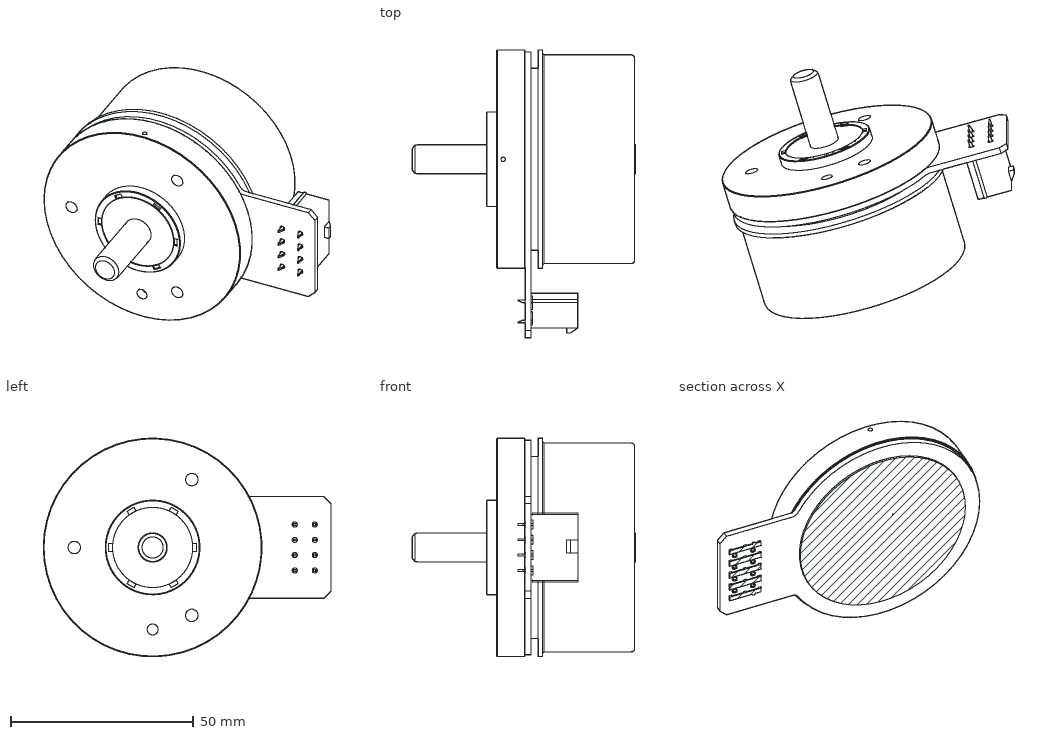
import cadquery as cq
import math


shaft_front = -23.2
hub_front = -2.8
flange_rear = 7.8
board_thickness = 1.7
board_rear = flange_rear + board_thickness
rim_front = board_rear + 1.9
rim_rear = rim_front + 1.2
can_front = rim_rear + 0.4
can_rear = 37.9
shaft_rear = 38.1

shaft_radius = 4.0
hub_radius = 13.0
flange_radius = 30.0
neck_radius = 25.0
rim_radius = 30.0
can_radius = 28.7
can_root_rise = 0.4
edge_break = 0.2
shaft_tip_radius = 2.9
shaft_shoulder_radius = 3.85
shaft_nose_length = 0.75
shaft_taper_length = 0.7
can_rear_radius = 1.0

seat_radius = 11.0
seat_depth = 0.3
notch_count = 6
notch_outer_radius = 12.1
notch_width = 2.2
notch_depth = 0.5

mount_hole_radius = 1.7
mount_circle_radius = 21.5
mount_hole_count = 3
mount_hole_depth = 5.0
drill_point_angle = 118.0
locating_hole_radius = 1.5
locating_hole_z = -22.5
locating_hole_depth = 3.0
side_hole_radius = 0.6
side_hole_x = 1.8
side_hole_depth = 3.0

board_radius = 29.5
tab_end_y = -49.0
tab_half_width = 14.0
tab_chamfer = 2.0
tab_root_radius = 2.0

connector_length = 12.8
connector_width = 9.6
connector_half_height = 9.0
connector_center_y = -41.5
connector_edge_radius = 0.3
key_rib_radius = 0.45
key_rib_y = -38.9
latch_length = 3.1
latch_height = 1.4
latch_flat = 1.05
latch_bottom_z = -1.5
latch_top_z = 2.0
row_slot_width = 2.4
row_slot_depth = 0.5
cross_slot_width = 3.6
cross_slot_depth = 0.3
cross_slot_offset = 2.15

pin_rows = 4
row_pitch = 4.2
column_pitch = 5.5
pin_center_y = -41.75
pin_hole_radius = 0.7
pin_width_y = 0.8
pin_width_z = 0.5
pin_protrusion = 1.9
pin_straight = 0.6
pin_tip_width = 0.25


def x_cylinder(radius, x_start, x_end, y=0.0, z=0.0):
    """Solid cylinder along X between two stations."""
    return cq.Workplane("YZ", origin=(x_start, y, z)).circle(radius).extrude(x_end - x_start)


def turned(outline):
    """Solid of revolution about X from (x, radius) points, closed along the axis."""
    start_x = outline[0][0]
    end_x = outline[-1][0]
    points = [(start_x, 0), *outline]
    if outline[-1][1] > 0:
        points.append((end_x, 0))
    profile = cq.Workplane("XY").polyline(points).close()
    return profile.revolve(360, (0, 0, 0), (1, 0, 0))


def box_between(x_range, y_range, z_range):
    """Box given by its limits on each axis."""
    size = [limits[1] - limits[0] for limits in (x_range, y_range, z_range)]
    corner = (x_range[0], y_range[0], z_range[0])
    return cq.Workplane("XY").box(*size, centered=False).translate(corner)


def make_shaft():
    """Shaft whose front end has a short blunt nose followed by a slight taper."""
    nose_end = shaft_front + shaft_nose_length
    return turned([
        (shaft_front, shaft_tip_radius),
        (nose_end, shaft_shoulder_radius),
        (nose_end + shaft_taper_length, shaft_radius),
        (shaft_rear, shaft_radius),
    ])


def make_can():
    """Can with a rounded rear edge and a conical root where it meets the rim."""
    root = turned([(rim_rear, can_radius + can_root_rise), (can_front, can_radius)])
    can = x_cylinder(can_radius, can_front, can_rear).faces(">X").edges().fillet(can_rear_radius)
    return root.union(can)


def make_body():
    """Shaft, hub, flange, neck, rim and can stacked along the axis."""
    hub = x_cylinder(hub_radius, hub_front, 0).faces("<X").chamfer(edge_break)
    flange = x_cylinder(flange_radius, 0, flange_rear).faces("<X or >X").chamfer(edge_break)
    neck = x_cylinder(neck_radius, board_rear, rim_front)
    rim = x_cylinder(rim_radius, rim_front, rim_rear)
    body = hub.cut(make_bearing_seat())
    for section in (flange, neck, rim, make_can(), make_shaft()):
        body = body.union(section)
    return body


def make_bearing_seat():
    """Shallow round recess in the hub face plus deeper notches at its edge."""
    seat = x_cylinder(seat_radius, hub_front, hub_front + seat_depth)
    notch = box_between(
        (hub_front, hub_front + notch_depth),
        (seat_radius, notch_outer_radius),
        (-notch_width / 2, notch_width / 2),
    )
    for index in range(notch_count):
        seat = seat.union(notch.rotate((0, 0, 0), (1, 0, 0), index * 360 / notch_count))
    return seat


def make_flange_holes():
    """Blind drilled mounting holes, one flat locating hole and one side hole."""
    point_depth = mount_hole_radius / math.tan(math.radians(drill_point_angle / 2))
    drill = turned([
        (0, mount_hole_radius),
        (mount_hole_depth, mount_hole_radius),
        (mount_hole_depth + point_depth, 0),
    ]).translate((0, mount_circle_radius, 0))
    holes = x_cylinder(locating_hole_radius, 0, locating_hole_depth, z=locating_hole_z)
    for index in range(mount_hole_count):
        holes = holes.union(drill.rotate((0, 0, 0), (1, 0, 0), index * 360 / mount_hole_count))
    side_hole = (
        cq.Workplane("XY", origin=(side_hole_x, 0, flange_radius - side_hole_depth))
        .circle(side_hole_radius)
        .extrude(side_hole_depth)
    )
    return holes.union(side_hole)


def make_board():
    """Round board with a chamfered tab, filleted where the tab leaves the disc."""
    disc = x_cylinder(board_radius, flange_rear, board_rear)
    tab = box_between((flange_rear, board_rear), (tab_end_y, 0), (-tab_half_width, tab_half_width))
    tab = tab.faces("<Y").edges("|X").chamfer(tab_chamfer)
    root_y = -math.sqrt(board_radius**2 - tab_half_width**2)
    corner_margin = tab_root_radius / 2
    root_corners = cq.selectors.BoxSelector(
        (flange_rear, root_y - corner_margin, -tab_half_width - corner_margin),
        (board_rear, root_y + corner_margin, tab_half_width + corner_margin),
    )
    return disc.union(tab).edges("|X").edges(root_corners).fillet(tab_root_radius)


def pin_positions():
    """Column side (+1 toward the axis), Y and Z of every pin, one column after the other."""
    positions = []
    for side in (-1, 1):
        for row in range(pin_rows):
            z = (row - (pin_rows - 1) / 2) * row_pitch
            positions.append((side, pin_center_y + side * column_pitch / 2, z))
    return positions


def make_pin(side, y, z):
    """Flat pin through the board whose tip tapers toward its outer edge."""
    outer_y = y + side * pin_width_y / 2
    inner_y = y - side * pin_width_y / 2
    tip_x = flange_rear - pin_protrusion
    root_x = board_rear + row_slot_depth
    return (
        cq.Workplane("XY", origin=(0, 0, z - pin_width_z / 2))
        .polyline([
            (root_x, outer_y),
            (tip_x, outer_y),
            (tip_x, outer_y - side * pin_tip_width),
            (flange_rear - pin_straight, inner_y),
            (root_x, inner_y),
        ])
        .close()
        .extrude(pin_width_z)
    )


def make_connector():
    """Rounded housing with key ribs, a latch ramp and slots under its base."""
    connector_rear = board_rear + connector_length
    front_y = connector_center_y - connector_width / 2
    rear_y = connector_center_y + connector_width / 2
    span_z = (-connector_half_height, connector_half_height)
    housing = box_between((board_rear, connector_rear), (front_y, rear_y), span_z)
    housing = housing.edges("|X").fillet(connector_edge_radius)
    for rib_z in span_z:
        housing = housing.union(
            x_cylinder(key_rib_radius, board_rear, connector_rear, y=key_rib_y, z=rib_z)
        )

    latch_front = connector_rear - latch_length
    latch = (
        cq.Workplane("XY", origin=(0, 0, latch_bottom_z))
        .polyline([
            (latch_front, front_y),
            (latch_front, front_y - latch_height),
            (latch_front + latch_flat, front_y - latch_height),
            (connector_rear, front_y),
        ])
        .close()
        .extrude(latch_top_z - latch_bottom_z)
    )
    housing = housing.union(latch)

    for _, _, z in pin_positions()[:pin_rows]:
        row_slot = box_between(
            (board_rear, board_rear + row_slot_depth),
            (front_y, rear_y),
            (z - row_slot_width / 2, z + row_slot_width / 2),
        )
        housing = housing.cut(row_slot)
    for side in (-1, 1):
        slot_y = connector_center_y + side * cross_slot_offset
        cross_slot = box_between(
            (board_rear, board_rear + cross_slot_depth),
            (slot_y - cross_slot_width / 2, slot_y + cross_slot_width / 2),
            (-connector_half_height - key_rib_radius, connector_half_height + key_rib_radius),
        )
        housing = housing.cut(cross_slot)
    return housing


motor = make_body().cut(make_flange_holes()).union(make_board())
motor = motor.union(make_connector())
for pin_side, pin_y, pin_z in pin_positions():
    motor = motor.cut(x_cylinder(pin_hole_radius, flange_rear, board_rear, pin_y, pin_z))
    motor = motor.union(make_pin(pin_side, pin_y, pin_z))
result = motor